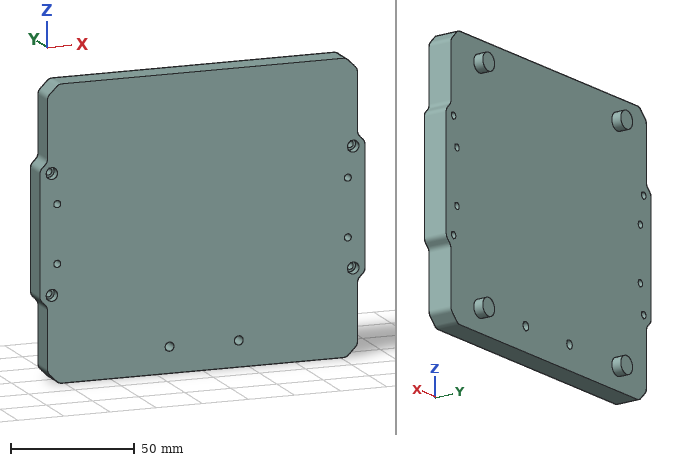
import cadquery as cq

ear_width = 141.0
plate_height = 125.0
plate_thickness = 11.0
total_depth = 15.5
corner_chamfer = 5.0
edge_radius = 3.2

ear_step = 3.2
ear_tip_half_height = 27.1
ear_root_half_height = ear_tip_half_height + ear_step

foot_diameter = 8.0
foot_spacing_x = 94.9
foot_spacing_z = 104.5

mount_diameter = 3.0
mount_bore_diameter = 5.0
mount_bore_depth = 4.0
mount_spacing_x = 130.7
mount_spacing_z = 50.9

side_hole_diameter = 3.0
side_hole_spacing_x = 126.0
side_hole_spacing_z = 25.0

bottom_hole_diameter = 3.8
bottom_hole_spacing = 30.0
bottom_hole_centre = (0.7, -51.3)


def front_plane():
    """Sketch plane on the front face: local x is +X, local y is +Z, normal is -Y."""
    return cq.Workplane("XZ")


def plate():
    """Chamfered rectangle with a stepped ear on each side, every corner of the outline rounded."""
    side = ear_width / 2 - ear_step
    top = plate_height / 2
    upper_right = [
        (ear_width / 2, ear_tip_half_height),
        (side, ear_root_half_height),
        (side, top - corner_chamfer),
        (side - corner_chamfer, top),
    ]
    upper_left = [(-x, z) for x, z in reversed(upper_right)]
    upper = upper_right + upper_left
    lower = [(-x, -z) for x, z in upper]
    blank = front_plane().polyline(upper + lower).close().extrude(-plate_thickness)
    return blank.edges("|Y").fillet(edge_radius)


def feet():
    """Four round feet reaching from the front plane through to the rear end."""
    return (
        front_plane()
        .rarray(foot_spacing_x, foot_spacing_z, 2, 2)
        .circle(foot_diameter / 2)
        .extrude(-total_depth)
    )


def mount_holes():
    """Through holes with a wider bore at the front face."""
    centres = front_plane().rarray(mount_spacing_x, mount_spacing_z, 2, 2)
    holes = centres.circle(mount_diameter / 2).extrude(-plate_thickness)
    bores = centres.circle(mount_bore_diameter / 2).extrude(-mount_bore_depth)
    return holes.union(bores)


def side_holes():
    return (
        front_plane()
        .rarray(side_hole_spacing_x, side_hole_spacing_z, 2, 2)
        .circle(side_hole_diameter / 2)
        .extrude(-plate_thickness)
    )


def bottom_holes():
    return (
        front_plane()
        .center(*bottom_hole_centre)
        .rarray(bottom_hole_spacing, 1.4, 2, 1)
        .circle(bottom_hole_diameter / 2)
        .extrude(-plate_thickness)
    )


result = plate().union(feet()).cut(mount_holes()).cut(side_holes()).cut(bottom_holes())